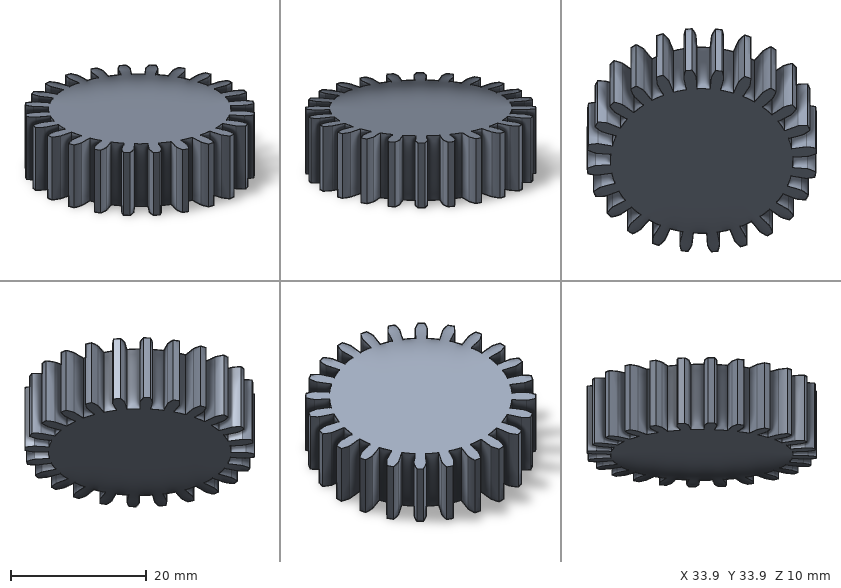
import cadquery as cq
import math

tooth_count = 24
outer_size = 33.85
face_width = 10.0
root_radius = 13.45
shoulder_radius = 15.65
crown_bulge = 0.05

root_half_angle = 3.33
tip_half_angle = 1.66

tooth_pitch = 360 / tooth_count
first_tooth_angle = 0.75 * tooth_pitch

nearest_corner_angle = tooth_pitch / 4 - tip_half_angle
tip_radius = outer_size / 2 / math.cos(math.radians(nearest_corner_angle))


def polar_point(radius, angle):
    """Point at the given radius and angle in degrees from +X."""
    return (radius * math.cos(math.radians(angle)), radius * math.sin(math.radians(angle)))


def bulged_midpoint(start, end):
    """Middle of an arc from start to end that bows to the right of travel."""
    run_x = end[0] - start[0]
    run_y = end[1] - start[1]
    offset = crown_bulge / math.hypot(run_x, run_y)
    return (
        (start[0] + end[0]) / 2 + run_y * offset,
        (start[1] + end[1]) / 2 - run_x * offset,
    )


def add_tooth(outline, angle):
    """Continue the outline counterclockwise round one tooth and the gap after it."""
    shoulder_in = polar_point(shoulder_radius, angle - root_half_angle)
    tip_in = polar_point(tip_radius, angle - tip_half_angle)
    tip_out = polar_point(tip_radius, angle + tip_half_angle)
    shoulder_out = polar_point(shoulder_radius, angle + root_half_angle)
    root_out = polar_point(root_radius, angle + root_half_angle)
    gap_middle = polar_point(root_radius, angle + tooth_pitch / 2)
    next_root = polar_point(root_radius, angle + tooth_pitch - root_half_angle)

    return (
        outline.lineTo(*shoulder_in)
        .threePointArc(bulged_midpoint(shoulder_in, tip_in), tip_in)
        .threePointArc(polar_point(tip_radius, angle), tip_out)
        .threePointArc(bulged_midpoint(tip_out, shoulder_out), shoulder_out)
        .lineTo(*root_out)
        .threePointArc(gap_middle, next_root)
    )


outline = cq.Workplane("XY").moveTo(*polar_point(root_radius, first_tooth_angle - root_half_angle))
for tooth in range(tooth_count):
    outline = add_tooth(outline, first_tooth_angle + tooth * tooth_pitch)

result = outline.close().extrude(face_width)